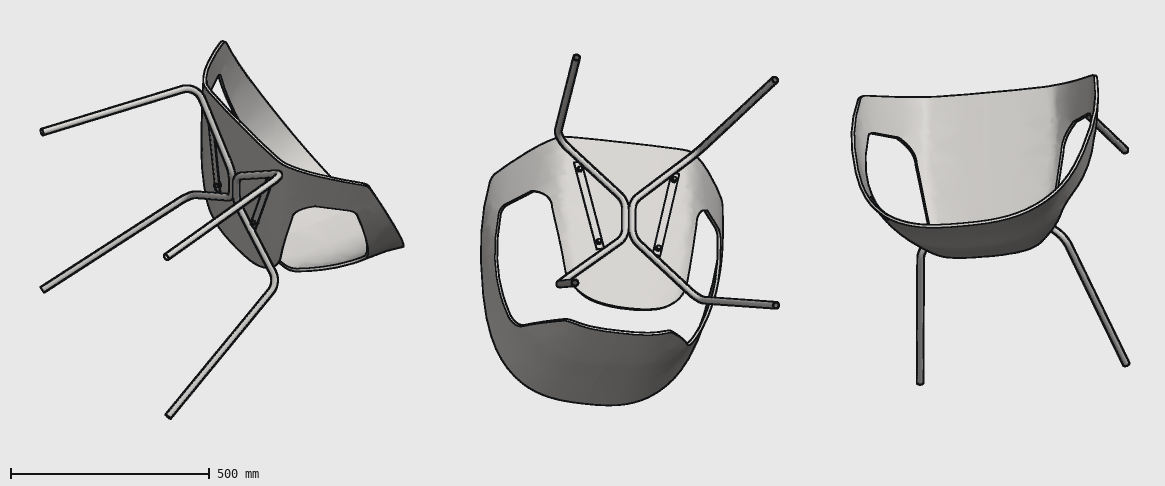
import cadquery as cq
import math


SHELL_THICKNESS = 8.0
SEAT_SLOPE = 0.035
SEAT_BASE_Y = 22.0
ARM_FRONT_Z = 200.0
BOWL_FRONT_Z = 300.0
BOWL_STRAIGHT_STEPS = 2
BOWL_CURVE_STEPS = 14
BOWL_FIT = 0.3
PLANE_OVERSHOOT = math.radians(8)

BOWL_LEVELS = [
    (-50.0, 0.0, 190.0, 3.5),
    (0.0, 0.0, 197.0, 3.5),
    (60.0, 0.0, 201.0, 3.5),
    (110.0, 1.0, 204.0, 3.5),
    (145.0, 3.5, 206.0, 3.5),
    (170.0, 9.0, 208.0, 3.5),
    (193.0, 25.0, 212.0, 3.5),
    (221.0, 52.0, 218.0, 3.4),
    (251.0, 90.0, 227.0, 3.2),
    (303.0, 169.0, 252.0, 2.7),
    (319.0, 240.0, 267.0, 2.6),
    (327.0, 320.0, 281.5, 2.65),
    (334.0, 430.0, 300.0, 2.7),
]

RIM_BACK_TOP = (400.0, -297.0)
RIM_ARM_CORNER = (200.5, 206.0)
RIM_ARM_RADIUS = 35.0
RIM_FRONT_TOP = (40.0, 270.0)
RIM_FRONT_RADIUS = 30.0

OPENING_ARM_FRONT = (172.0, 115.0)
OPENING_ARM_REAR = (246.0, -177.0)
OPENING_BACK_EDGE = (90.0, -204.0)
OPENING_EDGE_SLOPE = 0.25
OPENING_ARM_RADIUS = 28.0
OPENING_BACK_RADIUS = 14.0

TONGUE_ROOT = (232.0, 136.0)
TONGUE_NECK_MID = (203.0, 115.0)
TONGUE_NECK = (190.0, 78.0)
TONGUE_REAR_SIDE = (159.0, -100.0)
TONGUE_REAR_CORNER = (110.0, -162.0)
TONGUE_REAR_Z = -184.0
TONGUE_TOP_Y = 100.0

FAR = 500.0

TUBE_DIAMETER = 18.0
TUBE_RADIUS = TUBE_DIAMETER / 2
TUBE_WALL = 2.0
TUBE_BORE_RADIUS = TUBE_RADIUS - TUBE_WALL
CENTRE_BEND_RADIUS = 50.0
LEG_BEND_RADIUS = 45.0
FRONT_FOOT = (-260.5, -399.7, 305.2)
FRONT_KNEE = (-184.0, 28.0, 262.0)
FRONT_CENTRE = (-TUBE_RADIUS, 9.0, 103.0)
REAR_CENTRE = (-TUBE_RADIUS, 9.0, 5.0)
REAR_KNEE = (-184.0, 9.0, -143.0)
REAR_FOOT = (-264.0, -396.7, -303.8)

STRAP_WIDTH = 20.0
STRAP_THICKNESS = 3.0
STRAP_FRONT_SCREW = (-124.0, 29.0, 182.0)
STRAP_REAR_SCREW = (-78.0, 15.5, -14.0)
STRAP_END_MARGIN = 20.0
PAD_DIAMETER = 14.0
PAD_HEIGHT = 8.0
SCREW_HEAD_DIAMETER = 10.0
SCREW_HEAD_HEIGHT = 6.0


def bowl_level(half_width, height, rear_reach, squareness):
    """Points of the right half of one level, from the open front to the middle of the back."""
    plan = []
    for i in range(BOWL_STRAIGHT_STEPS):
        z = BOWL_FRONT_Z + (ARM_FRONT_Z - BOWL_FRONT_Z) * i / BOWL_STRAIGHT_STEPS
        plan.append((half_width, z))
    last_angle = math.pi / 2 + PLANE_OVERSHOOT
    for i in range(BOWL_CURVE_STEPS + 1):
        angle = last_angle * i / BOWL_CURVE_STEPS
        across = math.cos(angle)
        rearward = math.sin(angle)
        reach = (abs(across) ** squareness + rearward ** squareness) ** (-1 / squareness)
        plan.append((half_width * reach * across, ARM_FRONT_Z - (ARM_FRONT_Z + rear_reach) * reach * rearward))
    return [cq.Vector(x, SEAT_BASE_Y + height + SEAT_SLOPE * z, z) for x, z in plan]


def side_prism(points, half_length):
    """Prism across the chair from points given as (Y, Z)."""
    return cq.Workplane("YZ").polyline(points).close().extrude(half_length, both=True)


def edges_near(solid, point):
    """The edge across the chair through a (Y, Z) corner."""
    return solid.edges(cq.selectors.NearestToPointSelector((0, *point)))


def rim_envelope():
    """Everything on the seat side of the rim."""
    back = (RIM_BACK_TOP[0], -FAR)
    profile = [RIM_BACK_TOP, RIM_ARM_CORNER, RIM_FRONT_TOP, (-FAR, RIM_FRONT_TOP[1]), (-FAR, -FAR), back]
    envelope = side_prism(profile, FAR)
    envelope = edges_near(envelope, RIM_ARM_CORNER).fillet(RIM_ARM_RADIUS)
    return edges_near(envelope, RIM_FRONT_TOP).fillet(RIM_FRONT_RADIUS)


def left(point):
    """Mirror image of an (X, Z) point in the plane X = 0."""
    return (-point[0], point[1])


def seat_tongue():
    """Block that keeps the seat inside the opening, with a rounded rear end."""
    rear_end = [TONGUE_REAR_CORNER, (0, TONGUE_REAR_Z), left(TONGUE_REAR_CORNER), left(TONGUE_REAR_SIDE)]
    return (
        cq.Workplane("XZ", origin=(0, TONGUE_TOP_Y, 0))
        .moveTo(FAR, FAR)
        .lineTo(FAR, TONGUE_ROOT[1])
        .lineTo(*TONGUE_ROOT)
        .threePointArc(TONGUE_NECK_MID, TONGUE_NECK)
        .lineTo(*TONGUE_REAR_SIDE)
        .spline(rear_end, includeCurrent=True)
        .lineTo(*left(TONGUE_NECK))
        .threePointArc(left(TONGUE_NECK_MID), left(TONGUE_ROOT))
        .lineTo(-FAR, TONGUE_ROOT[1])
        .lineTo(-FAR, FAR)
        .close()
        .extrude(FAR)
    )


def opening():
    """Cutter for the opening that runs around the seat."""
    y, z = OPENING_ARM_FRONT
    front_low = (-FAR, z + (y + FAR) * OPENING_EDGE_SLOPE)
    profile = [
        OPENING_ARM_FRONT,
        OPENING_ARM_REAR,
        OPENING_BACK_EDGE,
        (OPENING_BACK_EDGE[0], -FAR),
        (-FAR, -FAR),
        front_low,
    ]
    cutter = side_prism(profile, FAR)
    cutter = edges_near(cutter, OPENING_ARM_FRONT).fillet(OPENING_ARM_RADIUS)
    cutter = edges_near(cutter, OPENING_ARM_REAR).fillet(OPENING_ARM_RADIUS)
    cutter = edges_near(cutter, OPENING_BACK_EDGE).fillet(OPENING_BACK_RADIUS)
    return cutter.cut(seat_tongue())


def half_shell():
    """Right half of the shell: a smooth skin, trimmed, then thickened towards the sitter."""
    levels = [bowl_level(*level) for level in BOWL_LEVELS]
    skin = cq.Face.makeSplineApprox(levels, tol=BOWL_FIT, minDeg=3, maxDeg=3)
    trimmed = skin.intersect(rim_envelope().val()).cut(opening().val())
    half = cq.Workplane(trimmed.Faces()[0].thicken(SHELL_THICKNESS))
    right_side = cq.Workplane().box(FAR, 2 * FAR, 2 * FAR, centered=(False, True, True))
    return half.intersect(right_side)


def build_shell():
    """Seat, arms and back in one piece."""
    right_half = half_shell()
    return right_half.union(right_half.mirror("YZ"))


def bent_path(points, radii):
    """Wire through the points with each inner corner rounded to its radius."""
    corners = [cq.Vector(*p) for p in points]
    edges = []
    start = corners[0]
    for before, corner, after, radius in zip(corners, corners[1:], corners[2:], radii):
        to_before = (before - corner).normalized()
        to_after = (after - corner).normalized()
        half_angle = to_before.getAngle(to_after) / 2
        bisector = (to_before + to_after).normalized()
        tangent_length = radius / math.tan(half_angle)
        arc_start = corner + to_before * tangent_length
        arc_end = corner + to_after * tangent_length
        arc_mid = corner + bisector * (radius / math.sin(half_angle) - radius)
        edges.append(cq.Edge.makeLine(start, arc_start))
        edges.append(cq.Edge.makeThreePointArc(arc_start, arc_mid, arc_end))
        start = arc_end
    edges.append(cq.Edge.makeLine(start, corners[-1]))
    return cq.Wire.assembleEdges(edges)


def rod(radius):
    """Round rod along the left frame, from the front foot to the rear foot."""
    points = [FRONT_FOOT, FRONT_KNEE, FRONT_CENTRE, REAR_CENTRE, REAR_KNEE, REAR_FOOT]
    radii = [LEG_BEND_RADIUS, CENTRE_BEND_RADIUS, CENTRE_BEND_RADIUS, LEG_BEND_RADIUS]
    direction = cq.Vector(*FRONT_KNEE) - cq.Vector(*FRONT_FOOT)
    section = cq.Workplane(cq.Plane(origin=FRONT_FOOT, normal=direction.toTuple())).circle(radius)
    return section.sweep(cq.Workplane(bent_path(points, radii)))


def build_leg_frame():
    """Left frame: one bent tube, open at both feet."""
    return rod(TUBE_RADIUS).cut(rod(TUBE_BORE_RADIUS))


def build_strap(shell):
    """Left strap under the seat: a flat bar notched around the frame, with two pads and screw heads."""
    front = cq.Vector(*STRAP_FRONT_SCREW)
    rear = cq.Vector(*STRAP_REAR_SCREW)
    along = front - rear
    middle = (front + rear) * 0.5
    across = cq.Vector(0, 1, 0).cross(along).normalized()
    upward = along.cross(across).normalized()
    plane = cq.Plane(origin=middle.toTuple(), xDir=along.toTuple(), normal=upward.toTuple())
    length = along.Length + 2 * STRAP_END_MARGIN
    screws = [(-along.Length / 2, 0), (along.Length / 2, 0)]
    bar = cq.Workplane(plane).rect(length, STRAP_WIDTH).extrude(-STRAP_THICKNESS)
    pads = cq.Workplane(plane).pushPoints(screws).circle(PAD_DIAMETER / 2).extrude(PAD_HEIGHT)
    heads = (
        cq.Workplane(plane)
        .workplane(offset=-STRAP_THICKNESS)
        .pushPoints(screws)
        .circle(SCREW_HEAD_DIAMETER / 2)
        .extrude(-SCREW_HEAD_HEIGHT)
    )
    return bar.union(pads).union(heads).cut(shell).cut(rod(TUBE_RADIUS))


shell = build_shell()
left_frame = build_leg_frame()
left_strap = build_strap(shell)
right_frame = left_frame.mirror("YZ")
right_strap = left_strap.mirror("YZ")

result = cq.Compound.makeCompound([
    shell.val(),
    *left_frame.vals(),
    *right_frame.vals(),
    *left_strap.vals(),
    *right_strap.vals(),
])